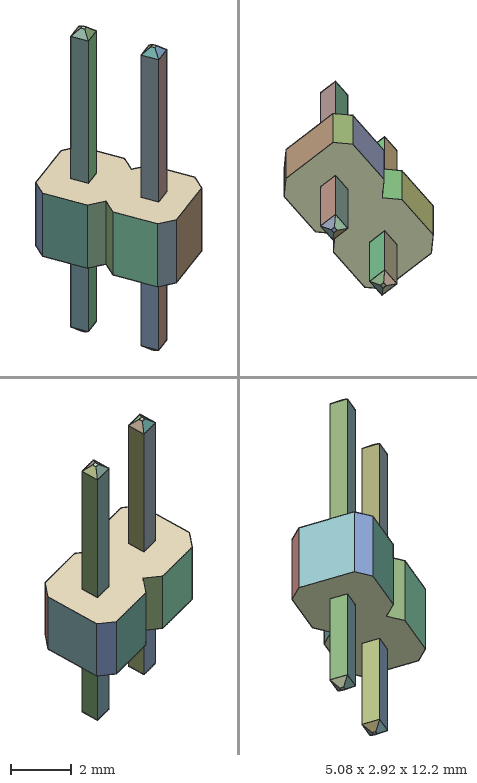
import cadquery as cq

pin_count = 2
pitch = 2.54
housing_depth = 2.92
housing_height = 2.54
corner_chamfer = 0.46

pin_width = 0.64
pin_above = 5.97
pin_below = 3.68
tip_chamfer = 0.25
pin_length = pin_below + housing_height + pin_above


def housing_cell(x):
    """Block around one pin, with its four vertical edges chamfered."""
    return (
        cq.Workplane("XY")
        .center(x, 0)
        .rect(pitch, housing_depth)
        .extrude(housing_height)
        .edges("|Z")
        .chamfer(corner_chamfer)
    )


def pin(x):
    """Square pin with a small flat left at each tapered tip."""
    return (
        cq.Workplane("XY", origin=(x, 0, -pin_below))
        .rect(pin_width, pin_width)
        .extrude(pin_length)
        .faces("<Z or >Z")
        .chamfer(tip_chamfer)
    )


first_pin_x = -pitch * (pin_count - 1) / 2
pin_positions = [first_pin_x + i * pitch for i in range(pin_count)]

result = cq.Workplane("XY")
for pin_x in pin_positions:
    result = result.union(housing_cell(pin_x)).union(pin(pin_x))
result = result.clean()